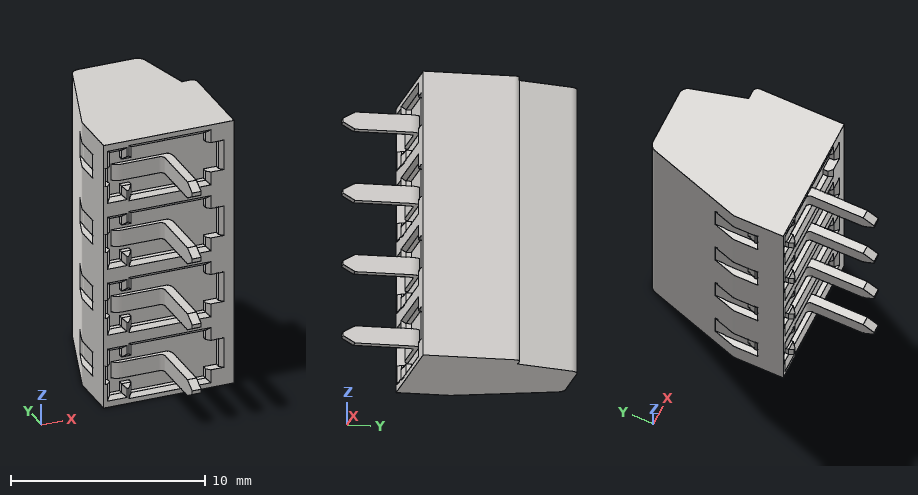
import cadquery as cq
import math


length = 15.19
width = 7.3
height = 8.46
pole_count = 4
pole_pitch = 3.81
slope_start = 2.84
top_left = 1.81
top_right = 5.67
shoulder_left = 6.55
shoulder_height = 5.1
top_radius = 0.5
shoulder_radius = 0.3
slope_radius = 0.61

floor_depth = 0.49
bevel = 0.21
bevel_depth = 0.21
pocket_left = 0.43
tongue_left = 1.1
tongue_right = 1.63
pocket_right = 5.79
end_half = 1.29
main_half = 1.38
tongue_half = 0.77
slot_right = 6.52
slot_half = 0.85

notch_left = 0.1
notch_half = 0.52
notch_rise = 0.15

recess_bottom = 1.46
recess_top = 4.07
recess_half = 0.68
recess_depth = 0.38
step_bottom = 3.46
step_top = 3.57
upper_recess_depth = 0.41
barb_half = 0.41
barb_bottom = 1.58
barb_crest = 1.69
barb_top = 2.19
barb_height = 0.21

pin_left = 3.45
pin_thickness = 0.5
pin_half = 0.463
pin_length = 3.54
pin_taper = 0.62
pin_tip_half = 0.1
strip_face = 0.26
bend_inner = 0.23
bend_left = 1.14

bend_outer = bend_inner + pin_thickness


def prism(sketch, half):
    """Extrude a closed XY sketch equally to both sides of Z = 0."""
    return sketch.extrude(half, both=True)


def make_housing():
    outline = cq.Workplane("XY").polyline([
        (0, 0),
        (0, slope_start),
        (top_left, height),
        (top_right, height),
        (shoulder_left, shoulder_height),
        (width, shoulder_height),
        (width, 0),
    ]).close()
    body = prism(outline, length / 2)

    def round_corner(solid, x, y, radius):
        reach = 0.02
        corner = cq.selectors.BoxSelector(
            (x - reach, y - reach, -length), (x + reach, y + reach, length))
        return solid.edges("|Z").edges(corner).fillet(radius)

    body = round_corner(body, 0, slope_start, slope_radius)
    body = round_corner(body, top_left, height, top_radius)
    body = round_corner(body, top_right, height, top_radius)
    return round_corner(body, width, shoulder_height, shoulder_radius)


def pocket_outline(plane, grow):
    """Pocket with a pair of tongues, its walls moved outward by grow."""
    upper = [
        (pocket_left - grow, end_half + grow),
        (tongue_left + grow, end_half + grow),
        (tongue_left + grow, tongue_half + grow),
        (tongue_right - grow, tongue_half + grow),
        (tongue_right - grow, main_half + grow),
        (pocket_right + grow, main_half + grow),
    ]
    lower = [(x, -z) for x, z in reversed(upper)]
    return plane.polyline(upper + lower).close()


def make_pocket():
    straight = pocket_outline(cq.Workplane("XZ"), 0).extrude(-floor_depth)
    mouth = pocket_outline(cq.Workplane("XZ"), bevel).workplane(offset=-bevel_depth)
    flare = pocket_outline(mouth, 0).loft(ruled=True)
    slot = prism(cq.Workplane("XY").polyline([
        (tongue_right, 0),
        (slot_right + bevel, 0),
        (slot_right, bevel_depth),
        (slot_right, floor_depth),
        (tongue_right, floor_depth),
    ]).close(), slot_half)
    notch = prism(cq.Workplane("XY").polyline([
        (notch_left, 0),
        (pocket_left, 0),
        (pocket_left, floor_depth),
        (notch_left, floor_depth + notch_rise),
    ]).close(), notch_half)
    return straight.union(flare).union(slot).union(notch)


def make_recess():
    recess = prism(cq.Workplane("XY").polyline([
        (0, recess_bottom),
        (recess_depth, recess_bottom),
        (recess_depth, step_bottom),
        (upper_recess_depth, step_top),
        (upper_recess_depth, recess_top),
        (0, recess_top),
    ]).close(), recess_half)
    barb = prism(cq.Workplane("XY").polyline([
        (recess_depth, barb_bottom),
        (recess_depth - barb_height, barb_bottom),
        (recess_depth - barb_height, barb_crest),
        (recess_depth, barb_top),
    ]).close(), barb_half)
    return recess.cut(barb)


def make_pin():
    """Leg, bend, strip along the pocket floor and a second bend rooted in the housing."""
    pin_right = pin_left + pin_thickness
    bend_right = pin_left - bend_inner
    bend_right_y = strip_face - bend_inner
    bend_left_y = strip_face + bend_outer
    strip_back = strip_face + pin_thickness
    diagonal = math.sqrt(0.5)
    profile = (
        cq.Workplane("XY")
        .moveTo(pin_left, -pin_length)
        .lineTo(pin_right, -pin_length)
        .lineTo(pin_right, bend_right_y)
        .threePointArc(
            (bend_right + bend_outer * diagonal, bend_right_y + bend_outer * diagonal),
            (bend_right, strip_back))
        .lineTo(bend_left, strip_back)
        .threePointArc(
            (bend_left - bend_inner * diagonal, bend_left_y - bend_inner * diagonal),
            (bend_left - bend_inner, bend_left_y))
        .lineTo(bend_left - bend_outer, bend_left_y)
        .threePointArc(
            (bend_left - bend_outer * diagonal, bend_left_y - bend_outer * diagonal),
            (bend_left, strip_face))
        .lineTo(bend_right, strip_face)
        .threePointArc(
            (bend_right + bend_inner * diagonal, bend_right_y + bend_inner * diagonal),
            (pin_left, bend_right_y))
        .close()
    )
    pin = prism(profile, pin_half)
    for side in (-1, 1):
        corner = cq.Workplane("YZ", origin=(pin_left, 0, 0)).polyline([
            (-pin_length, side * pin_tip_half),
            (-pin_length, side * pin_half),
            (-pin_length + pin_taper, side * pin_half),
        ]).close().extrude(pin_thickness)
        pin = pin.cut(corner)
    return pin


result = make_housing()
pole_cut = make_pocket().union(make_recess())
pin = make_pin()
for pole in range(pole_count):
    pole_z = (pole - (pole_count - 1) / 2) * pole_pitch
    result = result.cut(pole_cut.translate((0, 0, pole_z)))
    result = result.union(pin.translate((0, 0, pole_z)))